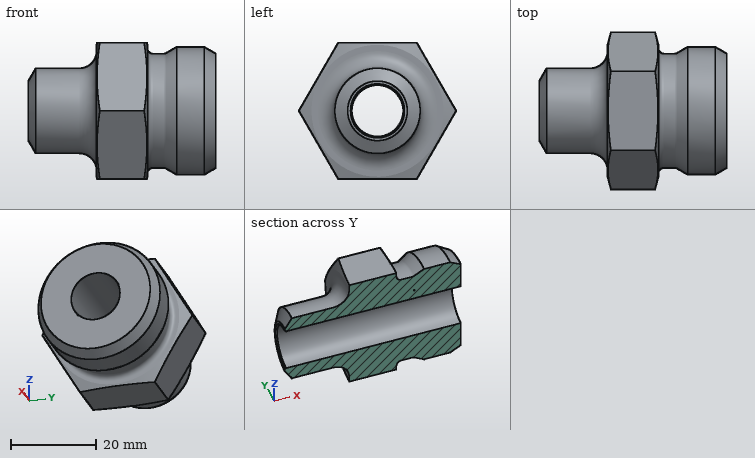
import cadquery as cq
import math

total_length = 44.0
bore_diameter = 12.0
bore_mouth_diameter = 12.65
bore_chamfer_angle = 45.0

nose_diameter = 20.0
nose_tip_diameter = 14.0
nose_fillet_radius = 4.0

hex_across_flats = 32.0
hex_start = 16.0
hex_width = 11.95
hex_face_diameter = 30.98
hex_chamfer_angle = 15.0

neck_diameter = 26.9
neck_hex_fillet_radius = 1.25
neck_cone_fillet_radius = 1.0
thread_diameter = 30.0
thread_start = 34.8
cone_angle = 30.0

cone_slope = math.tan(math.radians(cone_angle))
hex_end = hex_start + hex_width
hex_corner_diameter = hex_across_flats / math.cos(math.radians(30))
nose_chamfer_length = (nose_diameter - nose_tip_diameter) / 2 * cone_slope
thread_depth = (thread_diameter - neck_diameter) / 2
thread_cone_length = thread_depth / cone_slope


def revolve_about_x(profile):
    return profile.close().revolve(360, (0, 0, 0), (1, 0, 0))


def quarter_fillet_middle(center_x, center_y, radius, toward_x):
    """Point halfway along a concave quarter arc that bulges toward the axis."""
    offset = radius * math.sqrt(0.5)
    return (center_x + toward_x * offset, center_y - offset)


def make_turned_body():
    nose_radius = nose_diameter / 2
    neck_radius = neck_diameter / 2
    thread_radius = thread_diameter / 2

    nose_fillet_x = hex_start - nose_fillet_radius
    nose_fillet_y = nose_radius + nose_fillet_radius
    neck_fillet_x = hex_end + neck_hex_fillet_radius
    neck_fillet_y = neck_radius + neck_hex_fillet_radius

    cone_start = thread_start - thread_cone_length
    turn = math.radians(cone_angle)
    tangent_length = neck_cone_fillet_radius * math.tan(turn / 2)
    round_start = cone_start - tangent_length
    round_middle = (
        round_start + neck_cone_fillet_radius * math.sin(turn / 2),
        neck_radius + neck_cone_fillet_radius * (1 - math.cos(turn / 2)),
    )
    round_end = (
        cone_start + tangent_length * math.cos(turn),
        neck_radius + tangent_length * math.sin(turn),
    )

    profile = (
        cq.Workplane("XY")
        .moveTo(0, 0)
        .lineTo(0, nose_tip_diameter / 2)
        .lineTo(nose_chamfer_length, nose_radius)
        .lineTo(nose_fillet_x, nose_radius)
        .threePointArc(
            quarter_fillet_middle(nose_fillet_x, nose_fillet_y, nose_fillet_radius, 1),
            (hex_start, nose_fillet_y),
        )
        .lineTo(hex_end, neck_fillet_y)
        .threePointArc(
            quarter_fillet_middle(neck_fillet_x, neck_fillet_y, neck_hex_fillet_radius, -1),
            (neck_fillet_x, neck_radius),
        )
        .lineTo(round_start, neck_radius)
        .threePointArc(round_middle, round_end)
        .lineTo(thread_start, thread_radius)
        .lineTo(total_length - thread_cone_length, thread_radius)
        .lineTo(total_length, neck_radius)
        .lineTo(total_length, 0)
    )
    return revolve_about_x(profile)


def make_hexagon():
    """Hexagon with corners on +Y and -Y, chamfered conically on both faces."""
    prism = (
        cq.Workplane("YZ")
        .workplane(offset=hex_start)
        .polygon(6, hex_corner_diameter)
        .extrude(hex_width)
    )
    face_radius = hex_face_diameter / 2
    corner_radius = hex_corner_diameter / 2
    chamfer_length = (corner_radius - face_radius) * math.tan(math.radians(hex_chamfer_angle))
    envelope = revolve_about_x(
        cq.Workplane("XY")
        .moveTo(hex_start, 0)
        .lineTo(hex_start, face_radius)
        .lineTo(hex_start + chamfer_length, corner_radius)
        .lineTo(hex_end - chamfer_length, corner_radius)
        .lineTo(hex_end, face_radius)
        .lineTo(hex_end, 0)
    )
    return prism.intersect(envelope)


def make_bore():
    """Through bore with a small chamfer at the nose mouth."""
    bore_radius = bore_diameter / 2
    mouth_radius = bore_mouth_diameter / 2
    chamfer_length = (mouth_radius - bore_radius) / math.tan(math.radians(bore_chamfer_angle))
    return revolve_about_x(
        cq.Workplane("XY")
        .moveTo(0, 0)
        .lineTo(0, mouth_radius)
        .lineTo(chamfer_length, bore_radius)
        .lineTo(total_length, bore_radius)
        .lineTo(total_length, 0)
    )


result = make_turned_body().union(make_hexagon()).cut(make_bore())